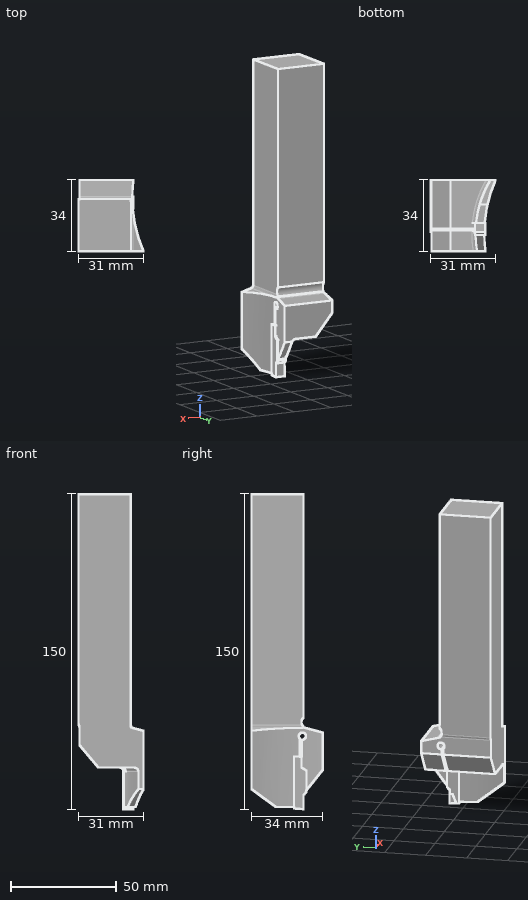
import cadquery as cq
import math

total_height = 150.0
shank_width = 24.9

head_width = 31.0
head_depth = 34.0
head_bottom = 19.8
head_left = 0.38
step_top = 40.5
step_bottom = 39.3
bevel_top = 30.6
bevel_end_x = 9.5
shoulder_foot = 39.0
shoulder_angle = 15.0
shoulder_fillet = 1.4
side_shoulder_drop = (head_width - shank_width) * math.tan(math.radians(shoulder_angle))
back_shoulder_drop = (head_depth - shank_width) * math.tan(math.radians(shoulder_angle))

groove_top = 43.6
groove_middle = 41.8
groove_depth = 0.98
groove_end_y = 26.2
groove_end_z = shoulder_foot - (groove_end_y - shank_width) * math.tan(math.radians(shoulder_angle))

arc_center_y = 25.4
right_radius = 62.4
right_center_x = head_width + math.sqrt(right_radius**2 - arc_center_y**2)
left_radius = 49.0
blade_left = 21.5
left_center_x = blade_left + left_radius
blade_bottom = 1.0
blade_nose_y = 11.7
blade_front_z = 9.6
finger_tip_z = 9.0
finger_back_z = 18.8
blade_fillet = 1.8

insert_front = 20.4
insert_back = 26.2
insert_left = 21.3
insert_right = 26.1
insert_top = 25.0
insert_shoulder_z = 18.5
rake_y = shank_width
rake_top = 6.8
rake_shelf = 8.2
insert_heel_z = 0.3
tip_side = 0.2
tip_top = 4.8
tip_shelf_y = 23.4
tip_heel_y = 21.8
tip_heel_z = 0.8

slot_front = 23.1
slot_back = 24.0
slot_hole_radius = 1.6
slot_hole_y = 24.3
slot_hole_z = 34.8


def side_prism(points, x_start, x_end):
    """Extrude a closed (Y, Z) outline along X."""
    return cq.Workplane("YZ", origin=(x_start, 0, 0)).polyline(points).close().extrude(x_end - x_start)


def arc_x(center_x, radius, y):
    """X of a blade face at a given Y."""
    return center_x - math.sqrt(radius**2 - (y - arc_center_y)**2)


def right_x(y):
    return arc_x(right_center_x, right_radius, y)


def left_x(y):
    return arc_x(left_center_x, left_radius, y)


def make_shank():
    shank = cq.Workplane("XY", origin=(0, 0, step_top)).rect(shank_width, shank_width, centered=False)
    return shank.extrude(total_height - step_top)


def make_head():
    head = (
        cq.Workplane("XZ")
        .moveTo(0, step_top)
        .lineTo(head_left, step_bottom)
        .lineTo(head_left, bevel_top)
        .lineTo(bevel_end_x, head_bottom)
        .lineTo(head_width, head_bottom)
        .lineTo(head_width, shoulder_foot - side_shoulder_drop)
        .lineTo(shank_width, shoulder_foot)
        .lineTo(shank_width, step_top)
        .close()
        .extrude(-head_depth)
    )
    corner = cq.selectors.NearestToPointSelector((shank_width, head_depth / 2, shoulder_foot))
    head = head.edges(corner).fillet(shoulder_fillet)

    back_outline = [
        (0, head_bottom),
        (head_depth, head_bottom),
        (head_depth, shoulder_foot - back_shoulder_drop),
        (shank_width, shoulder_foot),
        (shank_width, step_top),
        (0, step_top),
    ]
    curved_plan = (
        cq.Workplane("XY")
        .moveTo(0, 0)
        .lineTo(head_width, 0)
        .threePointArc((right_x(arc_center_y), arc_center_y), (right_x(head_depth), head_depth))
        .lineTo(0, head_depth)
        .close()
        .extrude(total_height)
    )
    return head.intersect(side_prism(back_outline, 0, head_width)).intersect(curved_plan)


def make_blade():
    plan = (
        cq.Workplane("XY")
        .moveTo(left_x(0), 0)
        .lineTo(head_width, 0)
        .threePointArc((right_x(arc_center_y), arc_center_y), (right_x(head_depth), head_depth))
        .lineTo(left_x(head_depth), head_depth)
        .threePointArc((blade_left, arc_center_y), (left_x(0), 0))
        .close()
        .extrude(head_bottom)
    )
    side_outline = [
        (0, head_bottom),
        (0, blade_front_z),
        (blade_nose_y, blade_bottom),
        (insert_back, blade_bottom),
        (insert_back, finger_tip_z),
        (head_depth, finger_back_z),
        (head_depth, head_bottom),
    ]
    return plan.intersect(side_prism(side_outline, 0, head_width))


def make_relief_groove():
    return (
        cq.Workplane("YZ")
        .moveTo(shank_width, groove_top)
        .threePointArc((shank_width - groove_depth, groove_middle), (groove_end_y, groove_end_z))
        .lineTo(groove_end_y, groove_top)
        .close()
        .extrude(head_width)
    )


def make_clamping_slot():
    slot_size = (head_width, slot_back - slot_front, slot_hole_z - head_bottom)
    slot = cq.Workplane("XY").box(*slot_size, centered=False).translate((0, slot_front, head_bottom))
    hole = (
        cq.Workplane("YZ")
        .center(slot_hole_y, slot_hole_z)
        .circle(slot_hole_radius)
        .extrude(head_width)
    )
    return slot.union(hole)


def insert_upper_outline():
    """(Y, Z) points shared by the insert and its pocket, from the back shoulder to the front."""
    return [
        (insert_back, insert_shoulder_z),
        (slot_back, head_bottom),
        (slot_back, insert_top),
        (insert_front, insert_top),
    ]


def make_insert_pocket():
    outline = [(insert_front, 0), (insert_back, 0), *insert_upper_outline()]
    fillet_outline = [
        (insert_front, 0),
        (insert_back, 0),
        (insert_back, insert_shoulder_z),
        (slot_back, head_bottom),
        (insert_front, head_bottom),
    ]
    fillet_clearance = side_prism(fillet_outline, blade_left - 2 * blade_fillet, head_width)
    return side_prism(outline, insert_left, head_width).union(fillet_clearance)


def make_holder():
    holder = make_shank().union(make_head()).union(make_blade())
    blade_root = cq.selectors.NearestToPointSelector((left_x(head_depth / 4), head_depth / 2, head_bottom))
    holder = holder.edges(blade_root).fillet(blade_fillet)
    for removed in (make_relief_groove(), make_clamping_slot(), make_insert_pocket()):
        holder = holder.cut(removed)
    return holder


def make_insert():
    outline = [
        (insert_front, insert_heel_z),
        (rake_y, 0),
        (rake_y, rake_top),
        (insert_back, rake_shelf),
        *insert_upper_outline(),
    ]
    tip_outline = [
        (rake_y, 0),
        (rake_y, tip_top),
        (tip_shelf_y, tip_top),
        (tip_heel_y, tip_heel_z),
    ]
    body = side_prism(outline, insert_left, insert_right)
    return body.union(side_prism(tip_outline, insert_left - tip_side, insert_right))


holder = make_holder()
insert = make_insert()
result = cq.Compound.makeCompound([holder.solids().val(), insert.solids().val()])